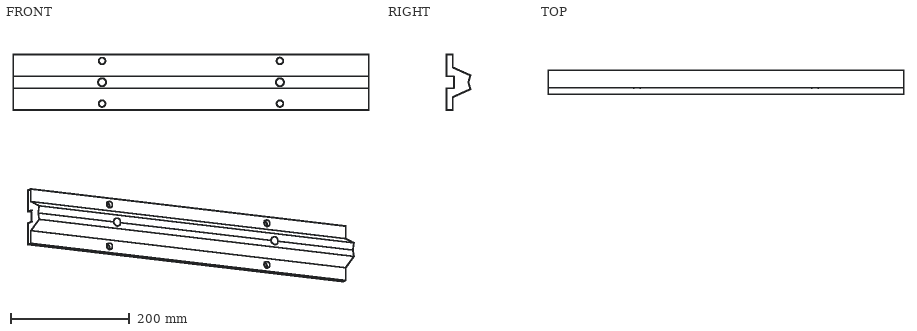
import cadquery as cq

length = 599.5
depth = 41.0
height = 94.0

flange_thickness = 11.0
rib_base_width = 50.5
rib_tip_width = 23.5
tip_notch_depth = 3.5
slot_width = 20.0
slot_depth = 12.5

hole_spacing_x = length / 2
flange_hole_spacing_z = 72.0
flange_hole_diameter = 11.0
center_hole_diameter = 13.0


def rail_body():
    """Two flanges and a tapered rib with a V-notched tip, extruded along X."""
    half_height = height / 2
    half_base = rib_base_width / 2
    half_tip = rib_tip_width / 2
    return (
        cq.Workplane("YZ")
        .moveTo(0, -half_height)
        .lineTo(flange_thickness, -half_height)
        .lineTo(flange_thickness, -half_base)
        .lineTo(depth, -half_tip)
        .lineTo(depth - tip_notch_depth, 0)
        .lineTo(depth, half_tip)
        .lineTo(flange_thickness, half_base)
        .lineTo(flange_thickness, half_height)
        .lineTo(0, half_height)
        .close()
        .extrude(length / 2, both=True)
    )


def slot():
    """Square slot along the whole flat face."""
    return cq.Workplane("XY").box(length, 2 * slot_depth, slot_width)


def through_holes(diameter, heights):
    """A pair of holes, spaced along X, at each of the given heights."""
    points = [(side * hole_spacing_x / 2, z) for side in (-1, 1) for z in heights]
    return cq.Workplane("XZ").pushPoints(points).circle(diameter / 2).extrude(-depth)


flange_hole_height = flange_hole_spacing_z / 2
flange_holes = through_holes(flange_hole_diameter, [-flange_hole_height, flange_hole_height])
center_holes = through_holes(center_hole_diameter, [0])

result = rail_body().cut(slot()).cut(flange_holes).cut(center_holes)